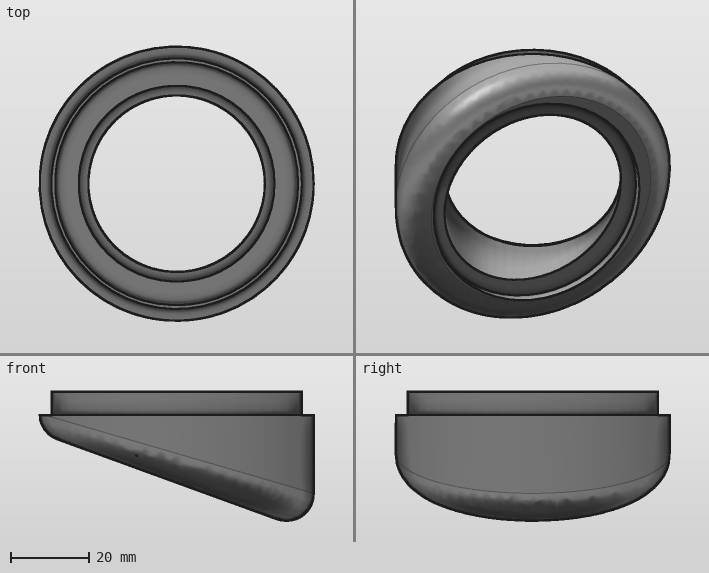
import cadquery as cq
import math

body_diameter = 70.0
body_radius = body_diameter / 2
underside_angle = 20.0
shallow_side_depth = 4.5
edge_radius = 7.0
slope = math.tan(math.radians(underside_angle))
axis_depth = shallow_side_depth + body_radius * slope
deep_side_depth = axis_depth + body_radius * slope

collar_diameter = 64.0
collar_height = 6.0
collar_bore_diameter = 62.0
counterbore_diameter = 50.0
counterbore_depth = 4.0
bore_diameter = 45.0

recess_diameter = 55.0
recess_depth = 3.0
recess_shift = 1.2

stock_height = 14.0


def cylinder(diameter, bottom, top):
    """Vertical cylinder on the Z axis."""
    return cq.Workplane("XY").workplane(offset=bottom).circle(diameter / 2).extrude(top - bottom)


def make_body():
    """Obliquely ended cylinder with a rounded lower edge, trimmed at Z = 0."""
    profile = [
        (-body_radius, stock_height),
        (-body_radius, -shallow_side_depth),
        (body_radius, -deep_side_depth),
        (body_radius, stock_height),
    ]
    wedge = cq.Workplane("XZ").polyline(profile).close().extrude(body_radius, both=True)
    stock = cylinder(body_diameter, -deep_side_depth, stock_height).intersect(wedge)
    rounded = stock.faces("<Z").edges().fillet(edge_radius)
    return rounded.intersect(cylinder(body_diameter, -deep_side_depth, 0))


def make_underside_recess():
    """Round pocket square to the underside, slightly off the Z axis."""
    tilt = math.radians(underside_angle)
    center_x = -recess_shift * math.cos(tilt)
    center_z = -axis_depth - center_x * slope
    underside = cq.Plane(
        origin=(center_x, 0, center_z),
        xDir=(math.cos(tilt), 0, -math.sin(tilt)),
        normal=(math.sin(tilt), 0, math.cos(tilt)),
    )
    return cq.Workplane(underside).circle(recess_diameter / 2).extrude(recess_depth)


collar = cylinder(collar_diameter, 0, collar_height)
collar_bore = cylinder(collar_bore_diameter, 0, collar_height)
counterbore = cylinder(counterbore_diameter, -counterbore_depth, 0)
bore = cylinder(bore_diameter, -deep_side_depth, collar_height)

result = (
    make_body()
    .union(collar)
    .cut(collar_bore)
    .cut(counterbore)
    .cut(make_underside_recess())
    .cut(bore)
)